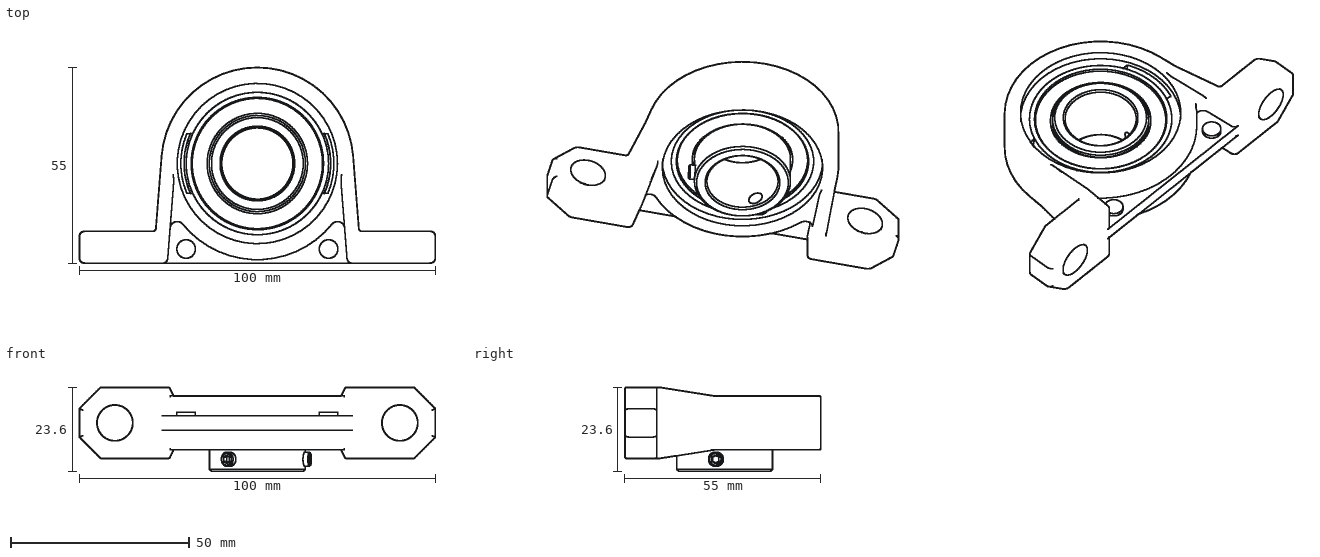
import cadquery as cq
import math


overall_width = 100.0
half_width = overall_width / 2
ring_radius = 27.0
ring_height = 15.2
half_ring_height = ring_height / 2
base_y = -28.0
foot_depth = 9.0
foot_height = 20.0
half_foot_height = foot_height / 2
foot_back_y = base_y + foot_depth
foot_corner_chamfer = 6.0
foot_end_round = 1.5
foot_hole_diameter = 10.0
foot_hole_spacing = 80.0

side_angle = math.radians(4.5)
side_wall_thickness = 4.0
ramp_start_y = -3.0
side_corner_round = 0.8
ramp_end_y = foot_back_y + side_corner_round
edge_round = 0.5
tolerance = 0.1

web_thickness = 4.0
pocket_corner_radius = 2.0
pocket_mouth_radius = 1.5
boss_diameter = 5.2
boss_height = 1.0
boss_spacing = 40.0
boss_y = base_y + 4.0

outer_race_width = 10.0
half_race_width = outer_race_width / 2
race_face_radius = 20.0
seat_radius = math.hypot(race_face_radius, half_race_width)
recess_diameter = 45.0
loading_slot_diameter = 43.0
loading_slot_width = 16.8

bore_diameter = 20.0
bore_radius = bore_diameter / 2
inner_ring_radius = 27.0 / 2
inner_ring_top = 5.5
inner_ring_bottom = -13.6
inner_ring_chamfer = 0.6
bore_chamfer = 0.5
seal_recess = 0.5
seal_face = half_race_width - seal_recess
seal_outer_radius = 36.6 / 2
seal_lip_radius = 37.2 / 2
seal_inner_radius = 28.2 / 2
seal_gap_depth = 0.5
seal_gap_floor = seal_face - seal_gap_depth

screw_diameter = 4.0
screw_radius = screw_diameter / 2
screw_face_radius = 3.3 / 2
screw_end = 15.1
screw_z = -10.2
screw_angles = (235.0, 350.0)
socket_across_corners = 2.3
socket_depth = 1.5


def wall_x(y, inset=0.0):
    """X of the slanted side wall at a given Y, moved inward by inset."""
    return (ring_radius - inset - y * math.sin(side_angle)) / math.cos(side_angle)


def blank():
    """Round top whose tangent sides widen down to the feet, trimmed to the ramped side profile."""
    tangent_x = ring_radius * math.cos(side_angle)
    tangent_y = ring_radius * math.sin(side_angle)

    corner_y = foot_back_y + side_corner_round
    corner_x = wall_x(corner_y, -side_corner_round)
    touch_x = corner_x - side_corner_round * math.cos(side_angle)
    touch_y = corner_y - side_corner_round * math.sin(side_angle)
    mid_x = corner_x - side_corner_round * math.sqrt(0.5)
    mid_y = corner_y - side_corner_round * math.sqrt(0.5)

    plan = (
        cq.Workplane("XY", origin=(0, 0, -half_foot_height))
        .moveTo(-half_width, base_y)
        .lineTo(half_width, base_y)
        .lineTo(half_width, foot_back_y)
        .lineTo(corner_x, foot_back_y)
        .threePointArc((mid_x, mid_y), (touch_x, touch_y))
        .lineTo(tangent_x, tangent_y)
        .threePointArc((0, ring_radius), (-tangent_x, tangent_y))
        .lineTo(-touch_x, touch_y)
        .threePointArc((-mid_x, mid_y), (-corner_x, foot_back_y))
        .lineTo(-half_width, foot_back_y)
        .close()
        .extrude(foot_height)
    )
    side_profile = (
        cq.Workplane("YZ")
        .polyline([
            (base_y, -half_foot_height),
            (ramp_end_y, -half_foot_height),
            (ramp_start_y, -half_ring_height),
            (ring_radius, -half_ring_height),
            (ring_radius, half_ring_height),
            (ramp_start_y, half_ring_height),
            (ramp_end_y, half_foot_height),
            (base_y, half_foot_height),
        ])
        .close()
        .extrude(half_width, both=True)
    )
    return plan.intersect(side_profile)


def shape_foot_ends(body):
    """Cut the corners of both foot ends and round the front and back edges around them."""
    body = body.faces("<X or >X").edges("|Y").chamfer(foot_corner_chamfer)
    chamfer_start_x = half_width - foot_corner_chamfer
    for side in (1, -1):
        near_x = side * (chamfer_start_x - tolerance)
        far_x = side * (half_width + tolerance)
        for y in (base_y, foot_back_y):
            ends = cq.selectors.BoxSelector(
                (near_x, y - tolerance, -half_foot_height - tolerance),
                (far_x, y + tolerance, half_foot_height + tolerance),
            )
            body = body.edges(ends).edges("#Y").fillet(foot_end_round)
    return body


def round_face_edges(body):
    """Round the edges of the upper and lower faces, leaving the bends across the ramps."""
    def on_outline(edge):
        center = edge.Center()
        height = abs(center.z)
        is_bend = abs(center.y - ramp_end_y) < tolerance
        on_raised_wall = height > half_ring_height + tolerance and not is_bend
        on_ring_back = height > half_ring_height - tolerance and center.y > ramp_start_y + tolerance
        return on_raised_wall or on_ring_back

    def on_pocket_rim(edge, face_z):
        center = edge.Center()
        return abs(center.z - face_z) < tolerance and center.y < -ring_radius / 2

    body = body.edges().filter(on_outline).fillet(edge_round)
    for face_z in (half_ring_height, -half_ring_height):
        rim = body.edges().filter(lambda edge: on_pocket_rim(edge, face_z))
        body = rim.fillet(edge_round)
    return body


def foot_holes():
    return (
        cq.Workplane("XZ", origin=(0, base_y, 0))
        .rarray(foot_hole_spacing, 1, 2, 1)
        .circle(foot_hole_diameter / 2)
        .extrude(-foot_depth)
    )


def gap_between_walls():
    """Space over the ring face between the raised side walls."""
    inner_top = wall_x(ramp_start_y, side_wall_thickness)
    inner_base = wall_x(base_y, side_wall_thickness)
    return (
        cq.Workplane("XY", origin=(0, 0, half_ring_height))
        .polyline([
            (-inner_base, base_y),
            (inner_base, base_y),
            (inner_top, ramp_start_y),
            (-inner_top, ramp_start_y),
        ])
        .close()
        .extrude(half_foot_height - half_ring_height)
    )


def pocket():
    """Pocket above the web: outside the ring, between the walls, with rounded corners and mouth."""
    cos_a = math.cos(side_angle)
    sin_a = math.sin(side_angle)
    wall_distance = ring_radius - side_wall_thickness

    across = wall_distance - pocket_corner_radius
    reach = ring_radius + pocket_corner_radius
    along = -math.sqrt(reach**2 - across**2)
    corner_x = across * cos_a - along * sin_a
    corner_y = across * sin_a + along * cos_a
    ring_touch_x = corner_x * ring_radius / reach
    ring_touch_y = corner_y * ring_radius / reach
    wall_touch_x = corner_x + pocket_corner_radius * cos_a
    wall_touch_y = corner_y + pocket_corner_radius * sin_a
    corner_mid_angle = math.radians(75)
    corner_mid_x = corner_x + pocket_corner_radius * math.cos(corner_mid_angle)
    corner_mid_y = corner_y + pocket_corner_radius * math.sin(corner_mid_angle)

    mouth_y = base_y + pocket_mouth_radius
    mouth_x = wall_x(mouth_y, side_wall_thickness) + pocket_mouth_radius / cos_a
    mouth_touch_x = mouth_x - pocket_mouth_radius * cos_a
    mouth_touch_y = mouth_y - pocket_mouth_radius * sin_a
    mouth_mid_x = mouth_x - pocket_mouth_radius * math.sqrt(0.5)
    mouth_mid_y = mouth_y - pocket_mouth_radius * math.sqrt(0.5)

    return (
        cq.Workplane("XY", origin=(0, 0, web_thickness / 2))
        .moveTo(-mouth_x, base_y)
        .lineTo(mouth_x, base_y)
        .threePointArc((mouth_mid_x, mouth_mid_y), (mouth_touch_x, mouth_touch_y))
        .lineTo(wall_touch_x, wall_touch_y)
        .threePointArc((corner_mid_x, corner_mid_y), (ring_touch_x, ring_touch_y))
        .threePointArc((0, -ring_radius), (-ring_touch_x, ring_touch_y))
        .threePointArc((-corner_mid_x, corner_mid_y), (-wall_touch_x, wall_touch_y))
        .lineTo(-mouth_touch_x, mouth_touch_y)
        .threePointArc((-mouth_mid_x, mouth_mid_y), (-mouth_x, base_y))
        .close()
        .extrude(half_foot_height)
    )


def bearing_seat():
    """Spherical seat with a round recess in each face of the ring."""
    recess_depth = half_ring_height - half_race_width
    recess = (
        cq.Workplane("XY", origin=(0, 0, half_race_width))
        .circle(recess_diameter / 2)
        .extrude(recess_depth)
    )
    return cq.Workplane("XY").sphere(seat_radius).union(recess).union(recess.mirror("XY"))


def loading_slots():
    """Slots on both sides of the seat, from its mid-plane up to the recess."""
    band = (
        cq.Workplane("XY")
        .box(loading_slot_diameter, loading_slot_width, half_race_width, centered=(True, True, False))
    )
    disc = cq.Workplane("XY").circle(loading_slot_diameter / 2).extrude(half_race_width)
    return disc.intersect(band)


def web_bosses():
    return (
        cq.Workplane("XY", origin=(0, boss_y, web_thickness / 2))
        .rarray(boss_spacing, 1, 2, 1)
        .circle(boss_diameter / 2)
        .extrude(boss_height)
    )


def make_housing():
    body = shape_foot_ends(blank())
    for cutter in (gap_between_walls(), pocket()):
        body = body.cut(cutter).cut(cutter.mirror("XY"))
    body = round_face_edges(body)
    body = body.cut(foot_holes()).cut(bearing_seat()).cut(loading_slots())
    return body.union(web_bosses())


def make_bearing():
    """Ring section turned about Z; the inner ring reaches down as the clamping collar."""
    profile = [
        (bore_radius + bore_chamfer, inner_ring_top),
        (inner_ring_radius - inner_ring_chamfer, inner_ring_top),
        (inner_ring_radius, inner_ring_top - inner_ring_chamfer),
        (inner_ring_radius, seal_gap_floor),
        (seal_inner_radius, seal_gap_floor),
        (seal_inner_radius, seal_face),
        (seal_outer_radius, seal_face),
        (seal_lip_radius, half_race_width),
        (race_face_radius, half_race_width),
    ]
    lower_profile = [
        (seal_lip_radius, -half_race_width),
        (seal_outer_radius, -seal_face),
        (seal_inner_radius, -seal_face),
        (seal_inner_radius, -seal_gap_floor),
        (inner_ring_radius, -seal_gap_floor),
        (inner_ring_radius, inner_ring_bottom + inner_ring_chamfer),
        (inner_ring_radius - inner_ring_chamfer, inner_ring_bottom),
        (bore_radius + bore_chamfer, inner_ring_bottom),
        (bore_radius, inner_ring_bottom + bore_chamfer),
        (bore_radius, inner_ring_top - bore_chamfer),
    ]
    section = cq.Workplane("XZ").moveTo(*profile[0])
    for point in profile[1:]:
        section = section.lineTo(*point)
    section = section.threePointArc((seat_radius, 0), (race_face_radius, -half_race_width))
    for point in lower_profile:
        section = section.lineTo(*point)
    bearing = section.close().revolve(360, (0, 0, 0), (0, 1, 0))
    for angle in screw_angles:
        bearing = bearing.cut(screw_blank(angle))
    return bearing


def screw_plane(angle, distance):
    """Plane facing outward from the bearing axis at the screw height."""
    direction = (math.cos(math.radians(angle)), math.sin(math.radians(angle)), 0)
    origin = (distance * direction[0], distance * direction[1], screw_z)
    return cq.Plane(origin=origin, xDir=(0, 0, 1), normal=direction)


def screw_blank(angle):
    return (
        cq.Workplane(screw_plane(angle, bore_radius))
        .circle(screw_radius)
        .extrude(screw_end - bore_radius)
    )


def make_screw(angle):
    """Set screw with a chamfered outer end and a hexagon socket."""
    end_plane = screw_plane(angle, screw_end)
    socket = cq.Workplane(end_plane).polygon(6, socket_across_corners).extrude(-socket_depth)
    return (
        screw_blank(angle)
        .faces(cq.selectors.DirectionMinMaxSelector(end_plane.zDir))
        .chamfer(screw_radius - screw_face_radius)
        .cut(socket)
    )


housing = make_housing()
bearing = make_bearing()
screws = [make_screw(angle) for angle in screw_angles]

result = cq.Compound.makeCompound([
    housing.val(),
    bearing.val(),
    *[screw.val() for screw in screws],
])